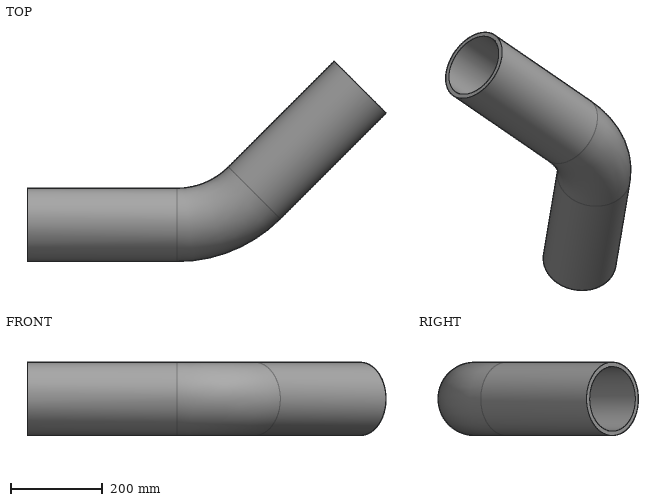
import cadquery as cq
import math

outer_diameter = 160.0
inner_diameter = 141.0

leg_length = 326.0
bend_radius = 238.5
bend_angle = 45.0

bend_angle_radians = math.radians(bend_angle)
bend_end = (
    leg_length + bend_radius * math.sin(bend_angle_radians),
    bend_radius * (1 - math.cos(bend_angle_radians)),
    0,
)
outlet_direction = (math.cos(bend_angle_radians), math.sin(bend_angle_radians), 0)

inlet_plane = cq.Plane.YZ()
bend_start_plane = cq.Plane.YZ(origin=(leg_length, 0, 0))
outlet_leg_plane = cq.Plane(origin=bend_end, xDir=(0, 0, 1), normal=outlet_direction)


def pipe_section(plane):
    """Annular pipe cross-section on the given plane."""
    return cq.Workplane(plane).circle(outer_diameter / 2).circle(inner_diameter / 2)


inlet_leg = pipe_section(inlet_plane).extrude(leg_length)

bend = pipe_section(bend_start_plane).revolve(
    bend_angle, axisStart=(bend_radius, 0), axisEnd=(bend_radius, 1)
)

outlet_leg = pipe_section(outlet_leg_plane).extrude(leg_length)

result = inlet_leg.union(bend).union(outlet_leg)